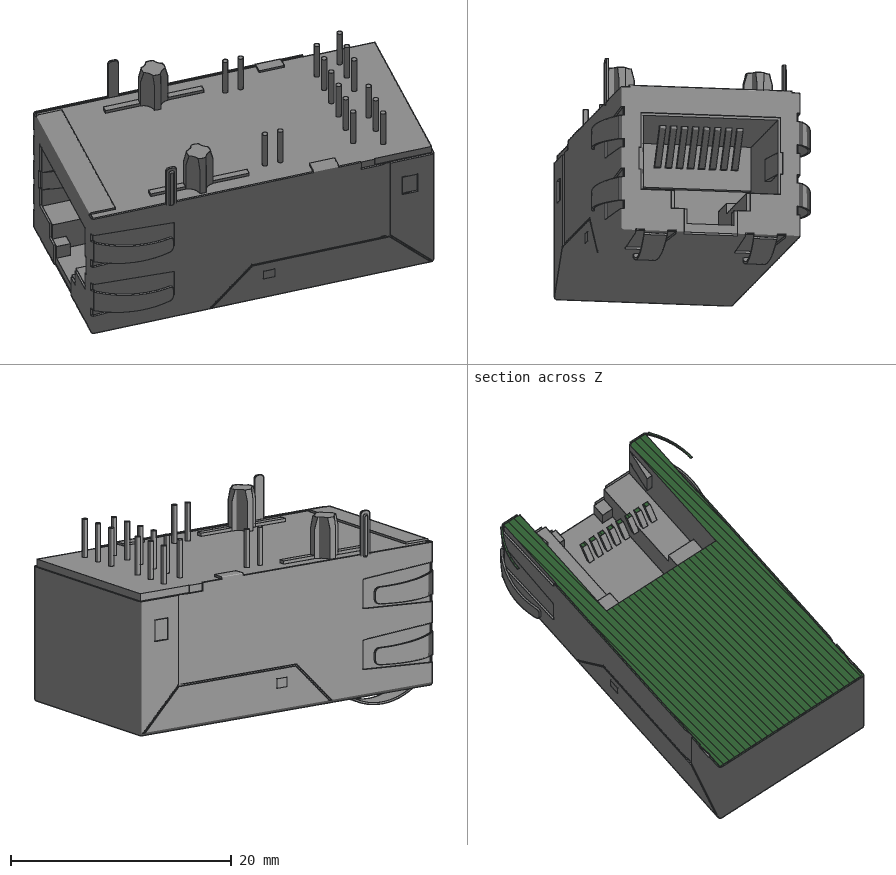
import cadquery as cq
import math


SHEET = 0.2
WIDTH = 16.53
LENGTH = 32.8
WALL_TOP = 13.38
ROOF_TOP = WALL_TOP + SHEET
BEND_RADIUS = 0.3
HALF_WIDTH = WIDTH / 2
INNER_HALF = HALF_WIDTH - SHEET

FRONT_TAB_WIDTH = 14.95
FRONT_TAB_LENGTH = 2.53
SIDE_TAB_START = 21.22
SIDE_TAB_LENGTH = 2.43
SIDE_TAB_REACH = 1.2

REAR_EDGE_TOP = 12.6
REAR_EDGE_START = 25.78

LEG_Y = 7.65
LEG_WIDTH = 1.0
LEG_TOP = 17.42
LEG_FOOT = 12.45
LEG_CORNER = 0.33
BEAD_WIDTH = 0.52
BEAD_HEIGHT = 0.13
BEAD_BOTTOM = 13.1
BEAD_TOP = 17.12
BEAD_TAPER = 45

SLOT_LENGTH = 7.95
SLOT_FRONT_WIDTH = 3.7
SLOT_END_WIDTH = 2.75
SLOT_CORNER = 0.2
TONGUE_LENGTH = 7.4
TONGUE_FRONT_WIDTH = 2.15
TONGUE_END_WIDTH = 1.55
TONGUE_CORNER = 0.45
SIDE_SPRING_HEIGHTS = (4.0, 9.68)
SIDE_SPRING_BULGE = 1.67
SIDE_SPRING_PEAK = 4.85
BOTTOM_SPRING_X = 5.05
BOTTOM_SPRING_BULGE = 1.6
BOTTOM_SPRING_PEAK = 4.2

SEAM_DEPTH = 0.13
SEAM_WIDTH = 0.15
FLAP_TOP = 4.23
FLAP_FRONT = 15.32
FLAP_REAR = 28.57
JOGGLE_START = 27.42
JOGGLE_END = 28.18

LATCH_Y = (29.72, 31.2)
LATCH_Z = (8.65, 10.65)
LATCH_RAMP_END = 30.85
LATCH_HEIGHT = 0.13
BOSS_Y = (16.43, 17.5)
BOSS_Z = (2.3, 3.18)

SHIELD_OPENING = 6.43
SHIELD_STEP = 3.65
SHIELD_KEY = 2.45
SHIELD_OPENING_TOP = 11.05
LEDGE_Z = 3.97
STEP_Z = 2.33
CAVITY_HALF = 6.2
CAVITY_STEP = 3.3
CAVITY_KEY = 2.15
CAVITY_TOP = 10.82
FLOOR_Z = 1.0
STOP_END = 1.5
CAVITY_END = 13.78
SHELF_Z = 6.8
SHELF_START = 13.12
RISER_START = 9.85
RISER_TOP = 4.92

WEDGE_Z = (5.85, 7.85)
NOTCH_HALF = 6.63
WEDGE_TIP = 5.65
WEDGE_END = 3.6

HOUSING_TOP = 13.3
REAR_SIDE_START = 27.15
REAR_SIDE_INSET = 0.1

CONTACT_COUNT = 8
CONTACT_PITCH = 1.02
CONTACT_WIDTH = 0.55
CONTACT_THICKNESS = 0.33
CONTACT_START = 4.6
CONTACT_BEND = 0.6
CONTACT_SLANT = 38
CONTACT_TIP_Z = 7.48

PIN_DIAMETER = 0.5
PIN_TOP = 16.83
PIN_PITCH = 2.05
REAR_PIN_Y = 28.6
MIDDLE_PIN_Y = 26.08
LED_PIN_X = 5.58
LED_PIN_Y = (17.48, 18.95)

POST_X = 6.35
POST_Y = 10.85
POST_RADIUS = 1.35
POST_TIP_RADIUS = 1.08
POST_TAPER_START = 16.07
POST_TOP = 17.12
POST_ARM = 0.62
POST_HOLLOW = 0.62
RIB_WIDTH = 0.6
RIB_START = 6.2
RIB_END = 15.6
RIB_TOP = 13.58


def block(x, y, z):
    """Box between the given (low, high) limits."""
    size = (x[1] - x[0], y[1] - y[0], z[1] - z[0])
    return cq.Workplane("XY").box(*size, centered=False).translate((x[0], y[0], z[0]))


def both_sides(solid):
    """The solid together with its mirror image across X = 0."""
    return solid.union(solid.mirror("YZ"))


def taper_plan(front_width, end_width, length, corner, low, high):
    """Prism along X whose width tapers along Y, with a rounded far end."""
    prism = (cq.Workplane("YZ")
             .polyline([(0, -front_width / 2), (length, -end_width / 2),
                        (length, end_width / 2), (0, front_width / 2)])
             .close().extrude(high - low))
    return prism.edges("|X and >Y").fillet(corner).translate((low, 0, 0))


def spring_slot():
    """Cutter for one spring slot; X = 0 is the outer wall face and +X points outward."""
    slot = taper_plan(SLOT_FRONT_WIDTH, SLOT_END_WIDTH, SLOT_LENGTH, SLOT_CORNER, -SHEET, SHEET)
    half = SLOT_FRONT_WIDTH / 2
    corner = block((-BEND_RADIUS, 0), (0, SHEET), (-half, half))
    root_half = TONGUE_FRONT_WIDTH / 2
    root = block((-BEND_RADIUS, SHEET), (0, BEND_RADIUS), (-root_half, root_half))
    return slot.union(corner).cut(root)


def spring_tongue(bulge, peak):
    """One bowed tongue in the same frame as its slot; it reaches out by bulge at Y = peak."""
    radius = (peak ** 2 + bulge ** 2) / (2 * bulge)
    ring = (cq.Workplane("XY").workplane(offset=-TONGUE_FRONT_WIDTH)
            .center(bulge - radius, peak)
            .circle(radius).circle(radius - SHEET).extrude(2 * TONGUE_FRONT_WIDTH))
    plan = taper_plan(TONGUE_FRONT_WIDTH, TONGUE_END_WIDTH, TONGUE_LENGTH, TONGUE_CORNER,
                      -SHEET, bulge + SHEET)
    front_corner = block((-SHEET, bulge), (0, SHEET), (-TONGUE_FRONT_WIDTH, TONGUE_FRONT_WIDTH))
    return ring.intersect(plan).cut(front_corner)


def on_side_wall(solid, height):
    """Place a spring shape on both side walls."""
    return both_sides(solid.translate((HALF_WIDTH, 0, height)))


def on_bottom_wall(solid):
    """Place a spring shape twice on the bottom wall, pointing down."""
    return both_sides(solid.rotate((0, 0, 0), (0, 1, 0), 90).translate((BOTTOM_SPRING_X, 0, 0)))


def opening_profile(half, step, key, top, bottom):
    """Stepped plug outline in the XZ plane."""
    right = [(half, top), (half, LEDGE_Z), (step, LEDGE_Z), (step, STEP_Z), (key, STEP_Z), (key, bottom)]
    left = [(-x, z) for x, z in reversed(right)]
    return cq.Workplane("XZ").polyline(right + left).close()


def seam_cutter():
    """Grooves in the +X side wall around the folded flaps."""
    floor = HALF_WIDTH - SEAM_DEPTH
    front_foot = FLAP_FRONT - FLAP_TOP
    rear_foot = FLAP_REAR + FLAP_TOP
    inset = SEAM_WIDTH * math.sqrt(2)
    inner_top = FLAP_TOP - SEAM_WIDTH
    outer = [(front_foot, 0), (FLAP_FRONT, FLAP_TOP), (FLAP_REAR, FLAP_TOP), (rear_foot, 0)]
    inner = [(front_foot + inset, 0), (front_foot + inset + inner_top, inner_top),
             (rear_foot - inset - inner_top, inner_top), (rear_foot - inset, 0)]
    seam = (cq.Workplane("YZ").workplane(offset=floor)
            .polyline(outer + inner[::-1]).close().extrude(SHEET))
    seam = seam.intersect(block((floor, HALF_WIDTH), (0, LENGTH), (BEND_RADIUS, FLAP_TOP)))
    middle = (JOGGLE_START + JOGGLE_END) / 2
    joggle = (cq.Workplane("XY").workplane(offset=FLAP_TOP)
              .moveTo(HALF_WIDTH, JOGGLE_START)
              .threePointArc((HALF_WIDTH - SEAM_DEPTH / 4, middle), (floor, JOGGLE_END))
              .lineTo(floor, FLAP_REAR).lineTo(HALF_WIDTH, FLAP_REAR)
              .close().extrude(REAR_EDGE_TOP - FLAP_TOP))
    return seam.union(joggle)


def shield_shell():
    """Folded box with top tabs, open over the housing and lower at the rear."""
    shell = block((-HALF_WIDTH, HALF_WIDTH), (0, LENGTH), (0, ROOF_TOP)).edges().fillet(BEND_RADIUS)
    shell = shell.cut(block((-INNER_HALF, INNER_HALF), (SHEET, LENGTH - SHEET), (SHEET, WALL_TOP)))
    roof_opening = block((-HALF_WIDTH, HALF_WIDTH), (0, LENGTH), (WALL_TOP, ROOF_TOP))
    front_tab_half = FRONT_TAB_WIDTH / 2
    front_tab = block((-front_tab_half, front_tab_half), (0, FRONT_TAB_LENGTH), (WALL_TOP, ROOF_TOP))
    side_tab = block((HALF_WIDTH - SIDE_TAB_REACH, HALF_WIDTH),
                     (SIDE_TAB_START, SIDE_TAB_START + SIDE_TAB_LENGTH), (WALL_TOP, ROOF_TOP))
    shell = shell.cut(roof_opening.cut(front_tab).cut(both_sides(side_tab)))
    rear_opening = block((-HALF_WIDTH, HALF_WIDTH), (REAR_EDGE_START, LENGTH), (REAR_EDGE_TOP, WALL_TOP))
    return shell.cut(rear_opening)


def board_leg():
    """Leg on the +X side wall with a raised bead."""
    leg = block((INNER_HALF, HALF_WIDTH), (LEG_Y - LEG_WIDTH / 2, LEG_Y + LEG_WIDTH / 2), (LEG_FOOT, LEG_TOP))
    leg = leg.edges("|X and >Z").fillet(LEG_CORNER)
    bead = (cq.Workplane("YZ", origin=(HALF_WIDTH, LEG_Y, (BEAD_BOTTOM + BEAD_TOP) / 2))
            .slot2D(BEAD_TOP - BEAD_BOTTOM, BEAD_WIDTH, 90).extrude(BEAD_HEIGHT, taper=BEAD_TAPER))
    return leg.union(bead)


def make_shield():
    shield = shield_shell()
    opening = opening_profile(SHIELD_OPENING, SHIELD_STEP, SHIELD_KEY, SHIELD_OPENING_TOP, 0)
    shield = shield.cut(opening.extrude(-SHEET))
    shield = shield.cut(both_sides(block((0, NOTCH_HALF), (0, SHEET), WEDGE_Z)))
    shield = shield.cut(both_sides(seam_cutter()))
    wall = (INNER_HALF, HALF_WIDTH)
    shield = shield.cut(both_sides(block(wall, LATCH_Y, LATCH_Z)))
    shield = shield.cut(both_sides(block(wall, BOSS_Y, BOSS_Z)))
    shield = shield.union(both_sides(board_leg()))

    slot = spring_slot()
    side_tongue = spring_tongue(SIDE_SPRING_BULGE, SIDE_SPRING_PEAK)
    for height in SIDE_SPRING_HEIGHTS:
        shield = shield.cut(on_side_wall(slot, height)).union(on_side_wall(side_tongue, height))
    bottom_tongue = spring_tongue(BOTTOM_SPRING_BULGE, BOTTOM_SPRING_PEAK)
    return shield.cut(on_bottom_wall(slot)).union(on_bottom_wall(bottom_tongue))


def plug_cavity():
    """Space for the plug, with latch stops, ledge risers and guide wedges left standing."""
    opening = opening_profile(CAVITY_HALF, CAVITY_STEP, CAVITY_KEY, CAVITY_TOP, FLOOR_Z)
    cavity = opening.extrude(-CAVITY_END)
    cavity = cavity.union(block((-CAVITY_STEP, CAVITY_STEP), (STOP_END, CAVITY_END), (FLOOR_Z, STEP_Z)))
    cavity = cavity.cut(block((-CAVITY_HALF, CAVITY_HALF), (SHELF_START, CAVITY_END), (SHELF_Z, CAVITY_TOP)))
    riser = block((CAVITY_STEP, CAVITY_HALF), (RISER_START, CAVITY_END), (LEDGE_Z, RISER_TOP))
    wedge = (cq.Workplane("XY").workplane(offset=WEDGE_Z[0])
             .polyline([(CAVITY_HALF, SHEET), (WEDGE_TIP, WEDGE_END), (CAVITY_HALF, WEDGE_END)])
             .close().extrude(WEDGE_Z[1] - WEDGE_Z[0]))
    return cavity.cut(both_sides(riser)).cut(both_sides(wedge))


def contact():
    """Contact wire that leaves the cavity ceiling, bends and slants down toward the rear."""
    def bend_point(radius, angle):
        """Point on the bend, at an angle in degrees from its vertical start."""
        turn = math.radians(angle)
        return (CONTACT_START + CONTACT_BEND - radius * math.cos(turn), CAVITY_TOP - radius * math.sin(turn))

    inner_bend = CONTACT_BEND - CONTACT_THICKNESS
    root_z = CAVITY_TOP + CONTACT_THICKNESS
    front_y, front_z = bend_point(CONTACT_BEND, CONTACT_SLANT)
    rear_y, rear_z = bend_point(inner_bend, CONTACT_SLANT)
    run = math.tan(math.radians(CONTACT_SLANT))
    profile = (cq.Workplane("YZ")
               .moveTo(CONTACT_START, root_z).lineTo(CONTACT_START, CAVITY_TOP)
               .threePointArc(bend_point(CONTACT_BEND, CONTACT_SLANT / 2), (front_y, front_z))
               .lineTo(front_y + run * (front_z - CONTACT_TIP_Z), CONTACT_TIP_Z)
               .lineTo(rear_y + run * (rear_z - CONTACT_TIP_Z), CONTACT_TIP_Z)
               .lineTo(rear_y, rear_z)
               .threePointArc(bend_point(inner_bend, CONTACT_SLANT / 2), bend_point(inner_bend, 0))
               .lineTo(CONTACT_START + CONTACT_THICKNESS, root_z).close())
    return profile.extrude(CONTACT_WIDTH / 2, both=True)


def board_pins():
    """All round pins standing on the housing top."""
    rear = [(side * n * PIN_PITCH, REAR_PIN_Y) for side in (-1, 1) for n in (1, 2, 3)]
    middle = [(side * (n - 0.5) * PIN_PITCH, MIDDLE_PIN_Y) for side in (-1, 1) for n in (1, 2, 3)]
    led = [(side * LED_PIN_X, y) for side in (-1, 1) for y in LED_PIN_Y]
    return (cq.Workplane("XY").workplane(offset=HOUSING_TOP)
            .pushPoints(rear + middle + led).circle(PIN_DIAMETER / 2).extrude(PIN_TOP - HOUSING_TOP))


def locating_post():
    """Four-armed post with a tapered tip, and the rib that runs through its foot."""
    arm = POST_ARM / 2
    reach = POST_RADIUS
    hollow = POST_HOLLOW
    star = (cq.Workplane("XY").workplane(offset=HOUSING_TOP)
            .moveTo(reach, -arm).lineTo(reach, arm).threePointArc((hollow, hollow), (arm, reach))
            .lineTo(-arm, reach).threePointArc((-hollow, hollow), (-reach, arm))
            .lineTo(-reach, -arm).threePointArc((-hollow, -hollow), (-arm, -reach))
            .lineTo(arm, -reach).threePointArc((hollow, -hollow), (reach, -arm))
            .close().extrude(POST_TOP - HOUSING_TOP))
    envelope = (cq.Workplane("XZ")
                .polyline([(0, HOUSING_TOP), (POST_RADIUS, HOUSING_TOP), (POST_RADIUS, POST_TAPER_START),
                           (POST_TIP_RADIUS, POST_TOP), (0, POST_TOP)])
                .close().revolve(360, (0, 0), (0, 1)))
    post = star.intersect(envelope).translate((POST_X, POST_Y, 0))
    rib_x = (POST_X - RIB_WIDTH / 2, POST_X + RIB_WIDTH / 2)
    rib = block(rib_x, (RIB_START, RIB_END), (HOUSING_TOP, RIB_TOP))
    return post.union(rib)


def side_latch():
    """Ramp in the +X side window that holds the rear flap."""
    return (cq.Workplane("XY").workplane(offset=LATCH_Z[0])
            .polyline([(INNER_HALF, LATCH_Y[0]), (INNER_HALF + LATCH_HEIGHT, LATCH_Y[0]),
                       (INNER_HALF, LATCH_RAMP_END)])
            .close().extrude(LATCH_Z[1] - LATCH_Z[0]))


def make_housing():
    housing = block((-INNER_HALF, INNER_HALF), (SHEET, LENGTH - SHEET), (SHEET, HOUSING_TOP))
    rim_cut = block((INNER_HALF - REAR_SIDE_INSET, INNER_HALF),
                    (REAR_SIDE_START, LENGTH), (REAR_EDGE_TOP, HOUSING_TOP))
    housing = housing.cut(both_sides(rim_cut)).cut(plug_cavity())
    row_start = -(CONTACT_COUNT - 1) / 2 * CONTACT_PITCH
    for n in range(CONTACT_COUNT):
        housing = housing.union(contact().translate((row_start + n * CONTACT_PITCH, 0, 0)))
    housing = housing.union(board_pins()).union(both_sides(locating_post()))
    boss = block((INNER_HALF, HALF_WIDTH), BOSS_Y, BOSS_Z)
    return housing.union(both_sides(side_latch())).union(both_sides(boss))


shield = make_shield()
housing = make_housing()
result = cq.Compound.makeCompound([shield.val(), housing.val()])